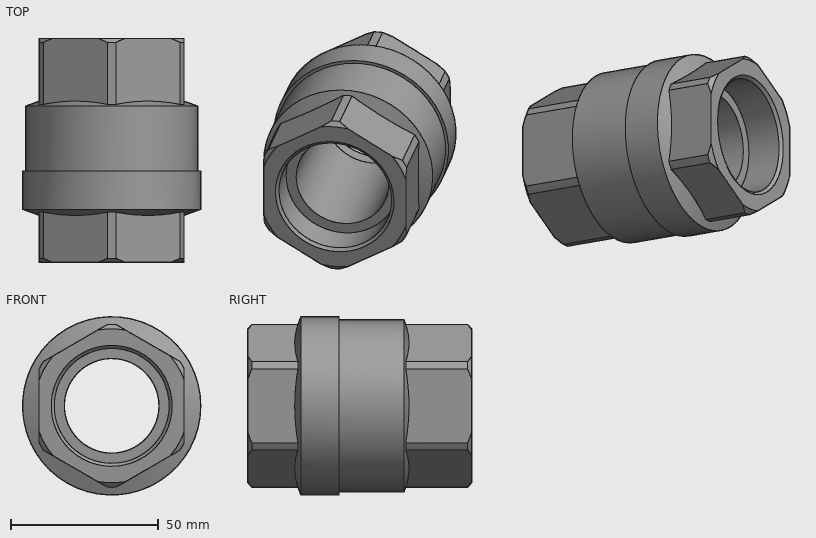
import cadquery as cq
import math

total_length = 76.0
front_y = -total_length / 2
back_y = total_length / 2

collar_diameter = 60.5
barrel_diameter = 58.5
front_hex_length = 18.0
back_hex_length = 23.0
collar_length = 13.0
shoulder_angle = 20.0

hex_sides = 6
hex_across_flats = 49.2
hex_corner_diameter = 55.2
hex_chamfer_face_diameter = 52.2
hex_chamfer_length = 1.4

through_diameter = 32.0
socket_diameter = 38.95
socket_mouth_diameter = 41.0
socket_depth = 13.2

collar_front_y = front_y + front_hex_length
step_y = collar_front_y + collar_length
barrel_back_y = back_y - back_hex_length


def revolve_about_y(profile):
    """Turn a closed (radius, y) profile around the Y axis."""
    return cq.Workplane("XY").polyline(profile).close().revolve(360, (0, 0, 0), (0, 1, 0))


def make_round_body():
    """Collar and barrel, closed by shallow conical shoulders that run into the hexagons."""
    collar_radius = collar_diameter / 2
    barrel_radius = barrel_diameter / 2
    inner_radius = through_diameter / 2
    slope = math.tan(math.radians(shoulder_angle))
    front_rise = (collar_radius - inner_radius) * slope
    back_rise = (barrel_radius - inner_radius) * slope
    return revolve_about_y([
        (0, collar_front_y - front_rise),
        (inner_radius, collar_front_y - front_rise),
        (collar_radius, collar_front_y),
        (collar_radius, step_y),
        (barrel_radius, step_y),
        (barrel_radius, barrel_back_y),
        (inner_radius, barrel_back_y + back_rise),
        (0, barrel_back_y + back_rise),
    ])


def make_hex_bar():
    """Full-length hexagon, corners pointing along Z, turned down and chamfered at both ends."""
    across_corners = hex_across_flats / math.cos(math.pi / hex_sides)
    hexagon = (
        cq.Workplane("XZ", origin=(0, front_y, 0))
        .transformed(rotate=(0, 0, 90))
        .polygon(hex_sides, across_corners)
        .extrude(-total_length)
    )
    corner_radius = hex_corner_diameter / 2
    face_radius = hex_chamfer_face_diameter / 2
    turned_blank = revolve_about_y([
        (0, front_y),
        (face_radius, front_y),
        (corner_radius, front_y + hex_chamfer_length),
        (corner_radius, back_y - hex_chamfer_length),
        (face_radius, back_y),
        (0, back_y),
    ])
    return hexagon.intersect(turned_blank)


def make_bore():
    """Through hole with an equal socket at each end, each with a 45 degree lead-in."""
    through_radius = through_diameter / 2
    socket_radius = socket_diameter / 2
    mouth_radius = socket_mouth_diameter / 2
    lead_in = mouth_radius - socket_radius
    return revolve_about_y([
        (0, front_y),
        (mouth_radius, front_y),
        (socket_radius, front_y + lead_in),
        (socket_radius, front_y + socket_depth),
        (through_radius, front_y + socket_depth),
        (through_radius, back_y - socket_depth),
        (socket_radius, back_y - socket_depth),
        (socket_radius, back_y - lead_in),
        (mouth_radius, back_y),
        (0, back_y),
    ])


result = make_round_body().union(make_hex_bar()).cut(make_bore())